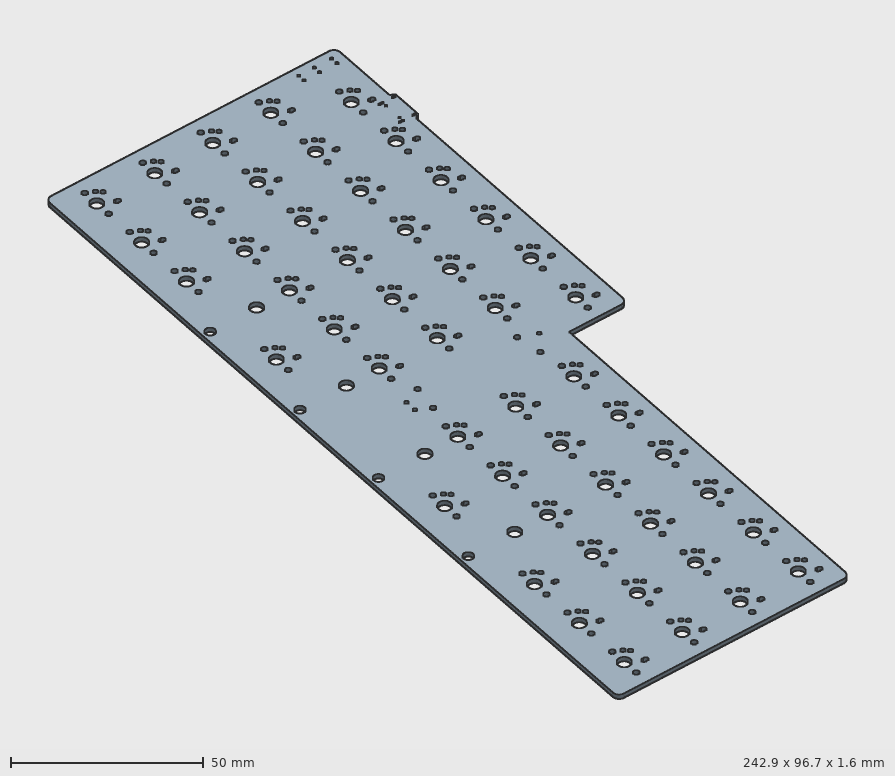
import cadquery as cq

unit = 19.05
board_thickness = 1.6
board_width = 12.75 * unit
board_depth = 5 * unit
upper_row_width = 6.5 * unit
shoulder_depth = 4 * unit
corner_radius = 2.0

usb_x = 1.5 * unit
tab_width = 10.6
tab_projection = 1.4
tab_corner_radius = 0.7
tab_root_radius = tab_projection - tab_corner_radius
shell_slot_width = 0.6
shell_slot_offset = 4.32
outer_slot_length = 1.2
inner_slot_length = 1.7
slot_row_spacing = 4.18
outer_slot_y = board_depth + 0.4
inner_slot_y = outer_slot_y - slot_row_spacing
usb_peg_diameter = 0.65
usb_peg_offset = 2.89
usb_peg_y = inner_slot_y + 0.53

switch_post_diameter = 3.99
switch_peg_diameter = 1.75
switch_peg_offset = 5.08
switch_pin_diameter = 1.47
switch_pins = [(-3.81, 2.54), (-2.5, 4.0), (2.54, 5.08), (2.5, 4.5)]

full_row = [0.5, 1.5, 2.5, 3.5, 4.5, 5.5, 7.25, 8.25, 9.25, 10.25, 11.25, 12.25]
front_row = [0.5, 1.5, 2.5, 4.5, 8.25, 10.25, 11.25, 12.25]
upper_row = [1, 2, 3, 4, 5, 6]
switch_rows = [front_row, full_row, full_row, full_row, upper_row]

stabilizer_columns = [4.5, 8.25]
stabilizer_offset = unit
stabilizer_large_diameter = 3.99
stabilizer_large_y = 8.255
stabilizer_small_diameter = 3.05
stabilizer_small_y = -6.985

header_diameter = 0.9
header_columns = [2.7, 4.9]
header_setbacks = [3.3, 9.0, 14.1]

cluster_x = 117.0
cluster_shift = 0.3
cluster_y = board_depth / 2 + cluster_shift
cluster_large_diameter = 1.7
cluster_large_points = [(0.2, 16.35), (8.4, 17.6)]
cluster_small_diameter = 1.2
cluster_small_y = 21.8
cluster_small_columns = [2.5, 6.1]


def row_y(row):
    return (row + 0.5) * unit


def drill(plate, points, diameter):
    cutters = cq.Workplane("XY").pushPoints(points).circle(diameter / 2).extrude(board_thickness)
    return plate.cut(cutters)


def cut_slots(plate, points, length, width):
    along_y = 90
    cutters = cq.Workplane("XY").pushPoints(points).slot2D(length, width, along_y).extrude(board_thickness)
    return plate.cut(cutters)


def make_board():
    outline = [
        (0, 0),
        (board_width, 0),
        (board_width, shoulder_depth),
        (upper_row_width, shoulder_depth),
        (upper_row_width, board_depth),
        (0, board_depth),
    ]
    board = cq.Workplane("XY").polyline(outline).close().extrude(board_thickness)
    inner_corner = (upper_row_width, shoulder_depth)
    for x, y in outline:
        if (x, y) != inner_corner:
            corner = cq.NearestToPointSelector((x, y, board_thickness / 2))
            board = board.edges(corner).fillet(corner_radius)
    return board


def add_usb_tab(board):
    half_width = tab_width / 2
    tab_end = board_depth + tab_projection
    root_end = board_depth + tab_root_radius
    tab = (
        cq.Workplane("XY")
        .moveTo(usb_x - half_width - tab_root_radius, board_depth)
        .radiusArc((usb_x - half_width, root_end), -tab_root_radius)
        .radiusArc((usb_x - half_width + tab_corner_radius, tab_end), tab_corner_radius)
        .lineTo(usb_x + half_width - tab_corner_radius, tab_end)
        .radiusArc((usb_x + half_width, root_end), tab_corner_radius)
        .radiusArc((usb_x + half_width + tab_root_radius, board_depth), -tab_root_radius)
        .close()
        .extrude(board_thickness)
    )
    return board.union(tab)


def cut_usb_holes(board):
    slot_columns = [usb_x - shell_slot_offset, usb_x + shell_slot_offset]
    outer_slots = [(x, outer_slot_y) for x in slot_columns]
    inner_slots = [(x, inner_slot_y) for x in slot_columns]
    pegs = [(usb_x + side * usb_peg_offset, usb_peg_y) for side in (-1, 1)]
    board = cut_slots(board, outer_slots, outer_slot_length, shell_slot_width)
    board = cut_slots(board, inner_slots, inner_slot_length, shell_slot_width)
    return drill(board, pegs, usb_peg_diameter)


def cut_switch_holes(board):
    centres = [(column * unit, row_y(row)) for row, columns in enumerate(switch_rows) for column in columns]
    pegs = [(x + side * switch_peg_offset, y) for x, y in centres for side in (-1, 1)]
    board = drill(board, centres, switch_post_diameter)
    board = drill(board, pegs, switch_peg_diameter)
    for pin_x, pin_y in switch_pins:
        pins = [(x + pin_x, y + pin_y) for x, y in centres]
        board = drill(board, pins, switch_pin_diameter)
    return board


def cut_stabilizer_holes(board):
    columns = [column * unit + side * stabilizer_offset for column in stabilizer_columns for side in (-1, 1)]
    large_holes = [(x, row_y(0) + stabilizer_large_y) for x in columns]
    small_holes = [(x, row_y(0) + stabilizer_small_y) for x in columns]
    board = drill(board, large_holes, stabilizer_large_diameter)
    return drill(board, small_holes, stabilizer_small_diameter)


def cut_header_holes(board):
    holes = [(x, board_depth - setback) for x in header_columns for setback in header_setbacks]
    return drill(board, holes, header_diameter)


def cut_cluster_holes(board):
    large_holes = [(cluster_x + x, cluster_y + side * y) for x, y in cluster_large_points for side in (-1, 1)]
    small_holes = [(cluster_x + x, cluster_y - cluster_small_y) for x in cluster_small_columns]
    small_holes.append((cluster_x + cluster_small_columns[0], cluster_y + cluster_small_y))
    board = drill(board, large_holes, cluster_large_diameter)
    return drill(board, small_holes, cluster_small_diameter)


result = make_board()
result = add_usb_tab(result)
result = cut_usb_holes(result)
result = cut_switch_holes(result)
result = cut_stabilizer_holes(result)
result = cut_header_holes(result)
result = cut_cluster_holes(result)